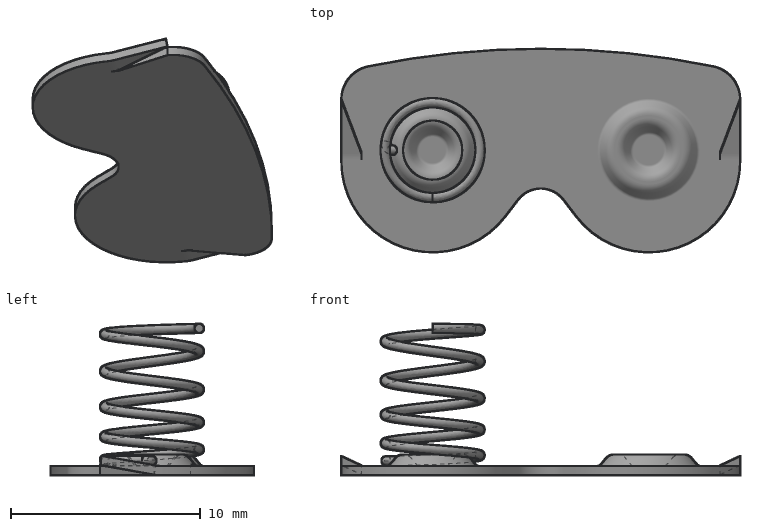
import cadquery as cq
import math

PLATE_LENGTH = 21.05
PLATE_THICKNESS = 0.5
BOSS_X = 5.7
LOBE_Y = -0.57
TOP_Y = 5.355
TOP_RADIUS = 45.0
CORNER_RADIUS = 1.8
NOTCH_Y = -2.03
NOTCH_RADIUS = 1.5
HALF_LENGTH = PLATE_LENGTH / 2
LOBE_RADIUS = HALF_LENGTH - BOSS_X

BOSS_HEIGHT = 0.61
BOSS_EMBED = PLATE_THICKNESS / 2
FLANK_ANGLE = math.radians(50)
FOOT_RADIUS = 0.2
CROWN_RADIUS = 0.55
PLAIN_BASE_RADIUS = 2.7
PLAIN_PIT_RADIUS = 0.8
SPRING_BASE_RADIUS = 2.42
SPRING_PIT_RADIUS = 0.7

TAB_WIDTH = 1.08
TAB_BEND_Y = -0.47
TAB_BEND_ANGLE = 10.0
TAB_BEND_RADIUS = 2.0
TAB_TIP_LENGTH = 2.9
SLOT_TIP_Y = 2.73

WIRE_RADIUS = 0.25
COIL_RADIUS = 2.5
TOTAL_HEIGHT = 8.0
COIL_START_ANGLE = 270.0
COIL_TOP_Z = TOTAL_HEIGHT - WIRE_RADIUS
UPPER_PITCH = 2.2
LOWER_PITCH = 1.2
UPPER_RAMP = 0.9
LOWER_RAMP = 0.45
TAIL_BEND_RADIUS = 0.4
TAIL_END_X = -1.7
TURNS_TO_TAIL = 4.75
TAIL_BEND_CENTRE_RADIUS = COIL_RADIUS - TAIL_BEND_RADIUS
TAIL_BEND_LEAD = math.asin(TAIL_BEND_RADIUS / TAIL_BEND_CENTRE_RADIUS)
COIL_TURNS = TURNS_TO_TAIL - TAIL_BEND_LEAD / (2 * math.pi)
POINTS_PER_TURN = 12


def make_plate():
    """Bowed plate with two round lobes and a round notch between them, joined by short tangents."""
    notch_centre_y = NOTCH_Y - NOTCH_RADIUS
    rise = LOBE_Y - notch_centre_y
    radius_share = (LOBE_RADIUS + NOTCH_RADIUS) / math.hypot(BOSS_X, rise)
    normal_angle = math.atan2(rise, BOSS_X) + math.acos(radius_share)
    normal_x = math.cos(normal_angle)
    normal_y = math.sin(normal_angle)
    notch_touch_x = NOTCH_RADIUS * normal_x
    notch_touch_y = notch_centre_y + NOTCH_RADIUS * normal_y
    lobe_touch_x = BOSS_X - LOBE_RADIUS * normal_x
    lobe_touch_y = LOBE_Y - LOBE_RADIUS * normal_y
    corner_y = TOP_Y - TOP_RADIUS + math.sqrt(TOP_RADIUS**2 - HALF_LENGTH**2)
    lobe_bottom_y = LOBE_Y - LOBE_RADIUS
    return (
        cq.Workplane("XY")
        .moveTo(-HALF_LENGTH, LOBE_Y)
        .threePointArc((-BOSS_X, lobe_bottom_y), (-lobe_touch_x, lobe_touch_y))
        .lineTo(-notch_touch_x, notch_touch_y)
        .threePointArc((0, NOTCH_Y), (notch_touch_x, notch_touch_y))
        .lineTo(lobe_touch_x, lobe_touch_y)
        .threePointArc((BOSS_X, lobe_bottom_y), (HALF_LENGTH, LOBE_Y))
        .lineTo(HALF_LENGTH, corner_y)
        .threePointArc((0, TOP_Y), (-HALF_LENGTH, corner_y))
        .close()
        .extrude(PLATE_THICKNESS)
        .edges("|Z")
        .edges(">Y")
        .fillet(CORNER_RADIUS)
    )


def make_boss(x, base_radius, pit_radius):
    """Ring boss turned about a vertical axis, with matching outer and inner flanks."""
    sine = math.sin(FLANK_ANGLE)
    cosine = math.cos(FLANK_ANGLE)
    foot_top_z = FOOT_RADIUS * (1 - cosine)
    crown_bottom_z = BOSS_HEIGHT - CROWN_RADIUS * (1 - cosine)
    foot_run = FOOT_RADIUS * sine
    flank_run = foot_run + (crown_bottom_z - foot_top_z) / math.tan(FLANK_ANGLE)
    crown_run = flank_run + CROWN_RADIUS * sine

    half_sine = math.sin(FLANK_ANGLE / 2)
    half_cosine = math.cos(FLANK_ANGLE / 2)
    foot_mid = (FOOT_RADIUS * half_sine, FOOT_RADIUS * (1 - half_cosine))
    crown_mid = (
        crown_run - CROWN_RADIUS * half_sine,
        BOSS_HEIGHT - CROWN_RADIUS * (1 - half_cosine),
    )

    def outer(run, z):
        return base_radius - run, z

    def inner(run, z):
        return pit_radius + run, z

    profile = (
        cq.Workplane("XZ", origin=(x, 0, PLATE_THICKNESS))
        .moveTo(pit_radius, -BOSS_EMBED)
        .lineTo(base_radius, -BOSS_EMBED)
        .lineTo(base_radius, 0)
        .threePointArc(outer(*foot_mid), outer(foot_run, foot_top_z))
        .lineTo(*outer(flank_run, crown_bottom_z))
        .threePointArc(outer(*crown_mid), outer(crown_run, BOSS_HEIGHT))
        .lineTo(*inner(crown_run, BOSS_HEIGHT))
        .threePointArc(inner(*crown_mid), inner(flank_run, crown_bottom_z))
        .lineTo(*inner(foot_run, foot_top_z))
        .threePointArc(inner(*foot_mid), inner(0, 0))
        .close()
    )
    return profile.revolve(360, (0, 0, 0), (0, 1, 0))


def make_tab_slot():
    """Opening left in the left end of the plate by its bent tab."""
    bend_end_y = TAB_BEND_Y + TAB_BEND_RADIUS * math.sin(math.radians(TAB_BEND_ANGLE))
    return (
        cq.Workplane("XY")
        .moveTo(-HALF_LENGTH, TAB_BEND_Y)
        .lineTo(-HALF_LENGTH + TAB_WIDTH, TAB_BEND_Y)
        .lineTo(-HALF_LENGTH + TAB_WIDTH, bend_end_y)
        .lineTo(-HALF_LENGTH, SLOT_TIP_Y)
        .close()
        .extrude(PLATE_THICKNESS)
    )


def make_tab():
    """Left tab: a short upward bend followed by a flat triangle."""
    bend = (
        cq.Workplane("XZ", origin=(0, TAB_BEND_Y, 0))
        .moveTo(-HALF_LENGTH, 0)
        .rect(TAB_WIDTH, PLATE_THICKNESS, centered=False)
        .revolve(TAB_BEND_ANGLE, (-1, TAB_BEND_RADIUS, 0), (1, TAB_BEND_RADIUS, 0))
    )
    axis_start = (0, TAB_BEND_Y, TAB_BEND_RADIUS)
    axis_end = (1, TAB_BEND_Y, TAB_BEND_RADIUS)
    triangle = (
        cq.Workplane("XY")
        .moveTo(-HALF_LENGTH, TAB_BEND_Y)
        .line(TAB_WIDTH, 0)
        .lineTo(-HALF_LENGTH, TAB_BEND_Y + TAB_TIP_LENGTH)
        .close()
        .extrude(PLATE_THICKNESS)
        .rotate(axis_start, axis_end, TAB_BEND_ANGLE)
    )
    return bend.union(triangle)


def coil_drop(turns):
    """Descent of the wire below its upper end after some turns.

    The pitch rises from zero, eases from the upper to the lower value, and falls back to zero;
    each stretch is linear, so its descent is its length times its mean pitch.
    """
    if turns <= UPPER_RAMP:
        return UPPER_PITCH * turns**2 / (2 * UPPER_RAMP)
    middle_turns = COIL_TURNS - UPPER_RAMP - LOWER_RAMP
    upper_drop = UPPER_PITCH * UPPER_RAMP / 2
    if turns <= UPPER_RAMP + middle_turns:
        along = turns - UPPER_RAMP
        pitch = UPPER_PITCH + (LOWER_PITCH - UPPER_PITCH) * along / middle_turns
        return upper_drop + along * (UPPER_PITCH + pitch) / 2
    middle_drop = middle_turns * (UPPER_PITCH + LOWER_PITCH) / 2
    lower_drop = LOWER_PITCH * LOWER_RAMP / 2
    left = COIL_TURNS - turns
    return upper_drop + middle_drop + lower_drop - LOWER_PITCH * left**2 / (2 * LOWER_RAMP)


def coil_point(turns):
    """Point on the wire's centre line, winding anticlockwise as it descends."""
    angle = math.radians(COIL_START_ANGLE) + 2 * math.pi * turns
    return (
        -BOSS_X + COIL_RADIUS * math.cos(angle),
        COIL_RADIUS * math.sin(angle),
        COIL_TOP_Z - coil_drop(turns),
    )


def make_coil():
    """Round wire swept along a smooth curve through points of the variable-pitch coil."""
    intervals = round(COIL_TURNS * POINTS_PER_TURN)
    points = [coil_point(COIL_TURNS * i / intervals) for i in range(intervals + 1)]
    path = cq.Workplane("XY").spline(points)
    section = cq.Workplane("YZ", origin=points[0]).circle(WIRE_RADIUS)
    return section.sweep(path)


def make_tail():
    """Lower wire end, turned inwards into the flank of the boss."""
    start = cq.Vector(coil_point(COIL_TURNS))
    bend_centre_x = -BOSS_X - TAIL_BEND_CENTRE_RADIUS * math.cos(TAIL_BEND_LEAD)
    bend_centre = cq.Vector(bend_centre_x, TAIL_BEND_RADIUS, start.z)
    bend_end = bend_centre - cq.Vector(0, TAIL_BEND_RADIUS, 0)
    to_middle = (start - bend_centre) + (bend_end - bend_centre)
    bend_middle = bend_centre + to_middle.normalized() * TAIL_BEND_RADIUS
    tail_end = cq.Vector(-BOSS_X + TAIL_END_X, 0, start.z)
    bend = cq.Edge.makeThreePointArc(start, bend_middle, bend_end)
    leg = cq.Edge.makeLine(bend_end, tail_end)
    path = cq.Wire.assembleEdges([bend, leg])
    start_plane = cq.Plane(start, xDir=start - bend_centre, normal=bend.tangentAt(0))
    section = cq.Workplane(start_plane).circle(WIRE_RADIUS)
    return section.sweep(path)


tab_slot = make_tab_slot()
tab = make_tab()
plain_boss = make_boss(BOSS_X, PLAIN_BASE_RADIUS, PLAIN_PIT_RADIUS)
spring_boss = make_boss(-BOSS_X, SPRING_BASE_RADIUS, SPRING_PIT_RADIUS)
spring = make_coil().union(make_tail())

plate = make_plate().cut(tab_slot).cut(tab_slot.mirror("YZ"))
plate = plate.union(tab).union(tab.mirror("YZ"))
result = plate.union(plain_boss).union(spring_boss).union(spring)